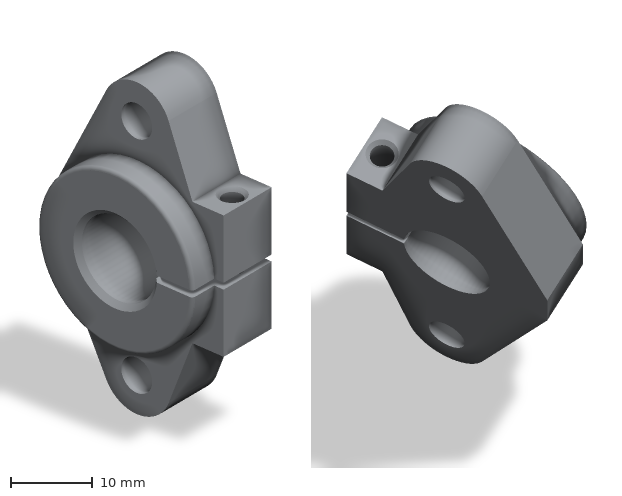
import cadquery as cq
import math

plate_thickness = 8.98
overall_height = 47.0
half_width = 14.0
ear_radius = 5.5
ear_center_z = overall_height / 2 - ear_radius
ear_hole_diameter = 5.0
side_flat_half_height = 2.5

clamp_half_height = 10.0
clamp_inner_x = 8.98
clamp_slot_width = 1.0
screw_x = 11.5
screw_diameter = 3.0
screw_chamfer = 0.5

boss_diameter = 25.0
boss_length = 4.05
boss_edge_radius = 0.5
bore_diameter = 12.0
bore_chamfer = 0.75


def ear_tangent_angle(x, z, turn):
    """Angle on the upper ear where the line from (x, z) touches it; turn picks the side."""
    distance = math.hypot(x, z - ear_center_z)
    direction = math.atan2(z - ear_center_z, x)
    return direction + turn * math.acos(ear_radius / distance)


def ear_point(angle):
    return (ear_radius * math.cos(angle), ear_center_z + ear_radius * math.sin(angle))


def mirrored(point):
    return (point[0], -point[1])


def make_plate():
    side_corner = (-half_width, side_flat_half_height)
    clamp_corner = (clamp_inner_x, clamp_half_height)
    clamp_outer_corner = (half_width, clamp_half_height)
    left_tangent = ear_point(ear_tangent_angle(*side_corner, -1))
    right_tangent = ear_point(ear_tangent_angle(*clamp_corner, 1))
    ear_top = (0, overall_height / 2)
    return (
        cq.Workplane("XZ")
        .moveTo(*side_corner)
        .lineTo(*left_tangent)
        .threePointArc(ear_top, right_tangent)
        .lineTo(*clamp_corner)
        .lineTo(*clamp_outer_corner)
        .lineTo(*mirrored(clamp_outer_corner))
        .lineTo(*mirrored(clamp_corner))
        .lineTo(*mirrored(right_tangent))
        .threePointArc(mirrored(ear_top), mirrored(left_tangent))
        .lineTo(*mirrored(side_corner))
        .close()
        .extrude(-plate_thickness)
    )


def make_boss():
    boss = cq.Workplane("XZ").circle(boss_diameter / 2).extrude(boss_length)
    return boss.faces("<Y").edges().fillet(boss_edge_radius)


def make_bore_cutter():
    """Through bore with a conical lead-in at the boss face."""
    bore_radius = bore_diameter / 2
    return (
        cq.Workplane("XY")
        .moveTo(0, -boss_length)
        .lineTo(bore_radius + bore_chamfer, -boss_length)
        .lineTo(bore_radius, bore_chamfer - boss_length)
        .lineTo(bore_radius, plate_thickness)
        .lineTo(0, plate_thickness)
        .close()
        .revolve(360, (0, 0), (0, 1))
    )


def make_ear_hole_cutter():
    return (
        cq.Workplane("XZ")
        .pushPoints([(0, ear_center_z), (0, -ear_center_z)])
        .circle(ear_hole_diameter / 2)
        .extrude(-plate_thickness)
    )


def make_slot_cutter():
    """Slot from the bore out through the clamp block, along the whole depth."""
    return cq.Workplane("XY").box(
        half_width,
        boss_length + plate_thickness,
        clamp_slot_width,
        centered=(False, False, True),
    ).translate((0, -boss_length, 0))


def make_screw_cutter():
    """Clamp screw hole along Z, chamfered at its upper mouth."""
    screw_radius = screw_diameter / 2
    return (
        cq.Workplane("XZ", origin=(screw_x, plate_thickness / 2, 0))
        .moveTo(0, -clamp_half_height)
        .lineTo(screw_radius, -clamp_half_height)
        .lineTo(screw_radius, clamp_half_height - screw_chamfer)
        .lineTo(screw_radius + screw_chamfer, clamp_half_height)
        .lineTo(0, clamp_half_height)
        .close()
        .revolve(360, (0, 0), (0, 1))
    )


result = (
    make_plate()
    .union(make_boss())
    .cut(make_bore_cutter())
    .cut(make_ear_hole_cutter())
    .cut(make_slot_cutter())
    .cut(make_screw_cutter())
)